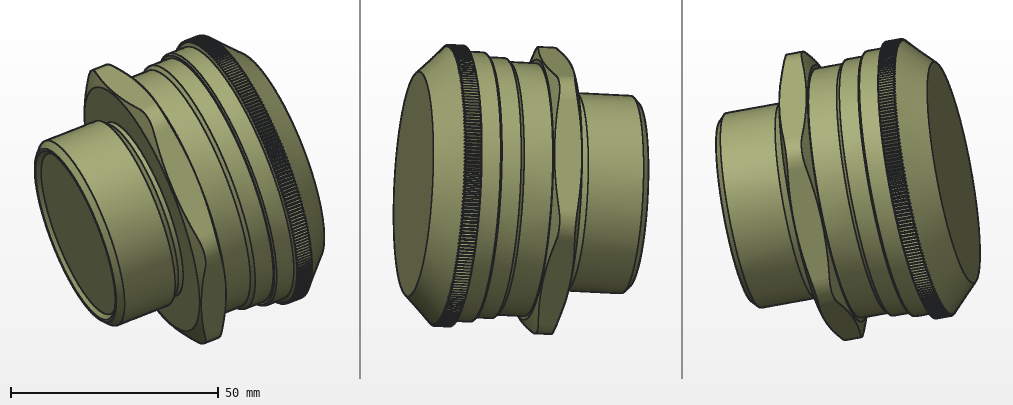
import cadquery as cq
import math

thread_chamfer = 1.5
thread_end = 15.1
neck_start = 16.65
hex_front = 17.9
hex_back = 25.0
body_end = 32.0
collar_end = 37.7
flange_start = 38.1
ring_start = 42.7
ring_edge = 43.1
cone_start = 46.8
back_end = 53.6

thread_diameter = 47.85
thread_tip_diameter = 44.8
neck_diameter = 45.0
body_diameter = 61.2
collar_diameter = 63.0
flange_diameter = 65.2
flange_front_diameter = 64.3
ring_diameter = 68.0
recess_mouth_diameter = 43.55
recess_floor_diameter = 41.55

hex_across_flats = 64.0
hex_across_corners = 71.4
hex_face_diameter = 63.0
hex_bevel_depth = 1.6
bevel_clearance = 0.7

groove_count = 240
groove_depth = 0.4


def turned(points):
    """Revolve an outline of (radius, y) points around the Y axis."""
    return cq.Workplane("XY").polyline(points).close().revolve(360, (0, 0, 0), (0, 1, 0))


def prism_plane(y):
    """Plane square to the Y axis whose extrusions grow towards +Y."""
    return cq.Workplane(cq.Plane(origin=(0, y, 0), xDir=(0, 0, 1), normal=(0, 1, 0)))


def make_threaded_end():
    thread_radius = thread_diameter / 2
    neck_radius = neck_diameter / 2
    mouth_radius = recess_mouth_diameter / 2
    floor_radius = recess_floor_diameter / 2
    recess_depth = mouth_radius - floor_radius
    return turned([
        (0, recess_depth),
        (floor_radius, recess_depth),
        (mouth_radius, 0),
        (thread_tip_diameter / 2, 0),
        (thread_radius, thread_chamfer),
        (thread_radius, thread_end),
        (neck_radius, neck_start),
        (neck_radius, hex_front),
        (0, hex_front),
    ])


def make_hexagon():
    corner_ratio = 1 / math.cos(math.radians(30))
    sharp_corner_diameter = hex_across_flats * corner_ratio
    corner_radius = (sharp_corner_diameter - hex_across_corners) / 2 / (corner_ratio - 1)
    prism = (
        prism_plane(hex_front)
        .polygon(6, sharp_corner_diameter)
        .extrude(hex_back - hex_front)
        .edges("|Y")
        .fillet(corner_radius)
    )
    face_radius = hex_face_diameter / 2
    tip_radius = hex_across_corners / 2
    bevel_slope = hex_bevel_depth / (tip_radius - face_radius)
    outer_radius = tip_radius + bevel_clearance
    outer_depth = bevel_slope * (outer_radius - face_radius)
    bevels = turned([
        (0, hex_front),
        (face_radius, hex_front),
        (outer_radius, hex_front + outer_depth),
        (outer_radius, hex_back - outer_depth),
        (face_radius, hex_back),
        (0, hex_back),
    ])
    return prism.intersect(bevels)


def make_stepped_body():
    body_radius = body_diameter / 2
    collar_radius = collar_diameter / 2
    flange_radius = flange_diameter / 2
    collar_start = body_end + collar_radius - body_radius
    return turned([
        (0, hex_back),
        (body_radius, hex_back),
        (body_radius, body_end),
        (collar_radius, collar_start),
        (collar_radius, collar_end),
        (flange_front_diameter / 2, collar_end),
        (flange_radius, flange_start),
        (flange_radius, ring_start),
        (0, ring_start),
    ])


def make_knurled_ring():
    ring_radius = ring_diameter / 2
    back_radius = ring_radius - (back_end - cone_start)
    blank = turned([
        (0, ring_start),
        (flange_diameter / 2, ring_start),
        (ring_radius, ring_edge),
        (ring_radius, cone_start),
        (back_radius, back_end),
        (0, back_end),
    ])
    outline = []
    for step in range(2 * groove_count):
        radius = ring_radius - groove_depth * (1 - step % 2)
        angle = math.pi * step / groove_count
        outline.append((radius * math.cos(angle), radius * math.sin(angle)))
    teeth = prism_plane(ring_start).polyline(outline).close().extrude(back_end - ring_start)
    return blank.intersect(teeth)


result = (
    make_threaded_end()
    .union(make_hexagon())
    .union(make_stepped_body())
    .union(make_knurled_ring())
)